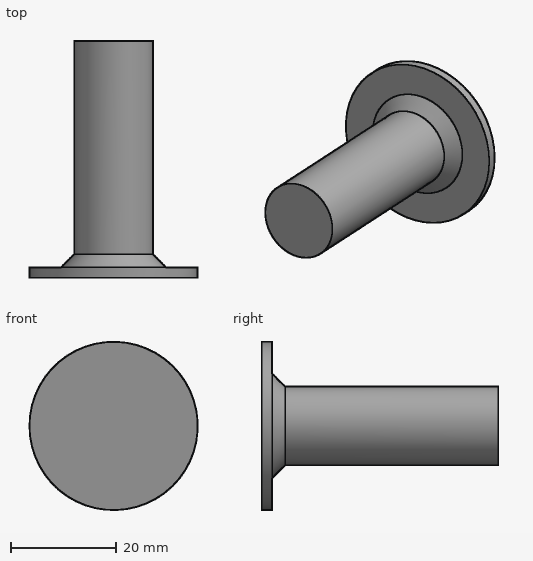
import cadquery as cq

flange_diameter = 32.0
flange_thickness = 2.0
stem_diameter = 15.0
overall_length = 45.0
collar_size = 2.5

flange_radius = flange_diameter / 2
stem_radius = stem_diameter / 2
collar_radius = stem_radius + collar_size
collar_end = flange_thickness + collar_size


def turned_profile():
    """Half section on the -X side of the axis, outer face of the flange at Y = 0."""
    return (
        cq.Workplane("XY")
        .moveTo(0, 0)
        .lineTo(-flange_radius, 0)
        .lineTo(-flange_radius, flange_thickness)
        .lineTo(-collar_radius, flange_thickness)
        .lineTo(-stem_radius, collar_end)
        .lineTo(-stem_radius, overall_length)
        .lineTo(0, overall_length)
        .close()
    )


result = turned_profile().revolve(360, (0, 0, 0), (0, 1, 0))